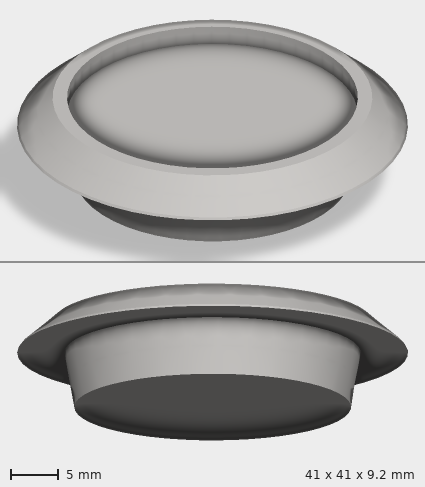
import cadquery as cq

flange_diameter = 41.0
total_height = 9.2

flange_height = 3.32
edge_height = 0.25
edge_top_diameter = 40.67
top_diameter = 33.55

plug_top_diameter = 31.08
plug_bottom_diameter = 29.03
plug_height = total_height - flange_height

recess_diameter = 30.5
recess_depth = 2.05


def make_body():
    """Revolve the half section of the plug and flange about Z."""
    edge_top = plug_height + edge_height
    half_section = [
        (0, 0),
        (plug_bottom_diameter / 2, 0),
        (plug_top_diameter / 2, plug_height),
        (flange_diameter / 2, plug_height),
        (edge_top_diameter / 2, edge_top),
        (top_diameter / 2, total_height),
        (0, total_height),
    ]
    return cq.Workplane("XZ").polyline(half_section).close().revolve(360, (0, 0), (0, 1))


def cut_recess(body):
    """Sink the flat-bottomed recess into the top face."""
    return body.faces(">Z").workplane().circle(recess_diameter / 2).cutBlind(-recess_depth)


result = cut_recess(make_body())